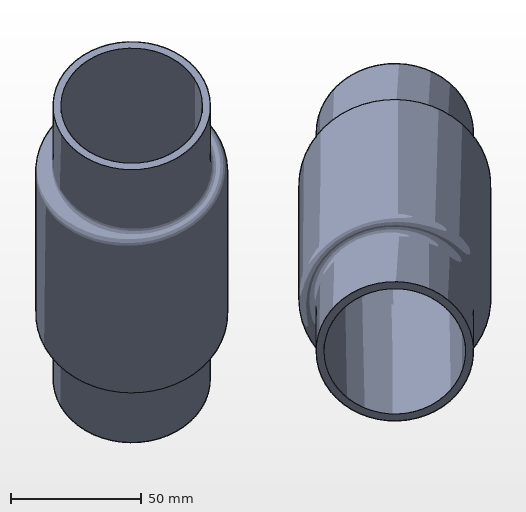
import cadquery as cq

total_length = 180.0
sleeve_length = 100.0
sleeve_radius = 36.9
pipe_radius = 30.2
bore_radius = 27.2
rim_fillet = 3.2
root_fillet = 2.7

edge_margin = 0.2


def cylinder(radius, length):
    """Cylinder on the Z axis, centred on the origin."""
    return cq.Workplane("XY").circle(radius).extrude(length / 2, both=True)


def sleeve_end_box(side):
    """Selector for the edges in one sleeve end plane, side +1 for top and -1 for bottom."""
    end_z = side * sleeve_length / 2
    return cq.selectors.BoxSelector(
        (-sleeve_radius, -sleeve_radius, end_z - edge_margin),
        (sleeve_radius, sleeve_radius, end_z + edge_margin),
    )


sleeve = cylinder(sleeve_radius, sleeve_length).edges("%CIRCLE").fillet(rim_fillet)

body = sleeve.union(cylinder(pipe_radius, total_length))

for side in (1, -1):
    root_edge = body.edges(sleeve_end_box(side)).edges(cq.selectors.RadiusNthSelector(0))
    body = root_edge.fillet(root_fillet)

result = body.cut(cylinder(bore_radius, total_length))